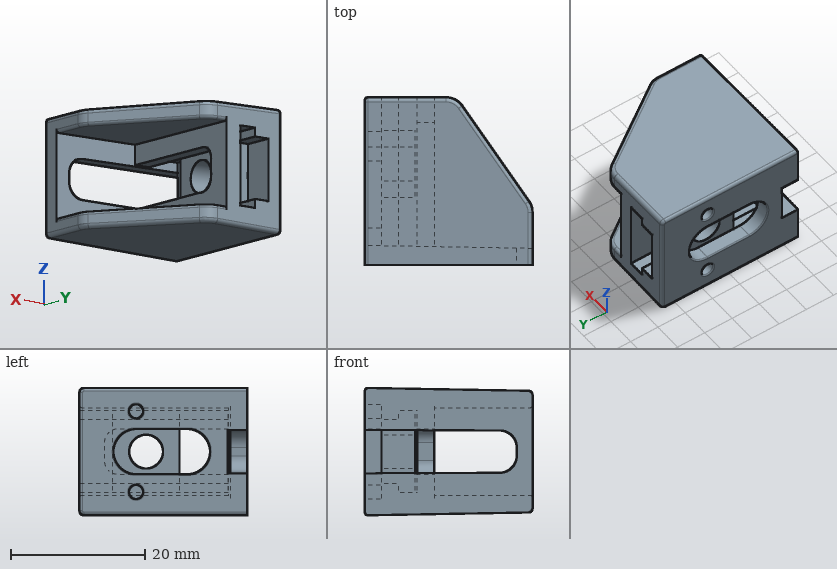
import cadquery as cq
import math

SIDE = 25.0
LEFT_HALF_HEIGHT = 9.5
DRAFT = 1.0
SLOPE_BACK_X = 13.62
SLOPE_RIGHT_Y = 8.75
SLOPE_CORNER_R = 3.0
OUTER_EDGE_R = 0.7
LEFT_EDGE_R = 0.5

LEFT_WALL = 2.5
CHANNEL_START = 5.0
CHANNEL_END = 7.8
PARTITION_END = 10.38
NECK_HALF_HEIGHT = 4.75
CHANNEL_HALF_HEIGHT = 6.1
OPENING_HALF_HEIGHT = 3.4
OPENING_CORNER_R = 2.08
OPENING_BACK_Y = 21.25
CAVITY_HALF_HEIGHT = 6.5
CAVITY_MOUTH_R = 0.5
FRONT_WALL_RIGHT = 2.5
FRONT_WALL_LEFT = FRONT_WALL_RIGHT + SIDE * math.tan(math.radians(DRAFT))

FRONT_SLOT_END = 22.6
FRONT_SLOT_R = 2.5
FRONT_SLOT_LEFT_HALF = 3.22
FRONT_SLOT_RIGHT_HALF = 3.12

LEFT_SLOT_R = 3.35
LEFT_SLOT_FRONT_Y = 8.9
LEFT_SLOT_BACK_Y = 16.55
PILOT_R = 1.05
PILOT_Z = 6.0
PILOT_DEPTH = 2.5
RIM_R = 0.2

SLIDER_END = 7.5
SLIDER_LENGTH = 10.0
SLIDER_Y = 15.05
SLIDER_HOLE_R = 2.5

SELECT_MARGIN = 0.02


def box(x0, x1, y0, y1, half_height):
    """Box centred on Z = 0."""
    return cq.Workplane("XY").box(
        x1 - x0, y1 - y0, 2 * half_height, centered=(False, False, True)
    ).translate((x0, y0, 0))


def behind_front_wall(x0, x1, half_height):
    """Space from the tapered inner face of the front wall out through the back."""
    def wall_y(x):
        return FRONT_WALL_LEFT + (FRONT_WALL_RIGHT - FRONT_WALL_LEFT) * x / SIDE

    return (
        cq.Workplane("XY")
        .polyline([(x0, wall_y(x0)), (x1, wall_y(x1)), (x1, SIDE), (x0, SIDE)])
        .close()
        .extrude(half_height, both=True)
    )


def housing_blank():
    """Five-sided block whose top and bottom taper toward the right."""
    right_half_height = LEFT_HALF_HEIGHT - SIDE * math.tan(math.radians(DRAFT))
    outline = [
        (0, 0),
        (SIDE, 0),
        (SIDE, SLOPE_RIGHT_Y),
        (SLOPE_BACK_X, SIDE),
        (0, SIDE),
    ]
    prism = cq.Workplane("XY").polyline(outline).close().extrude(LEFT_HALF_HEIGHT, both=True)
    slope_corners = cq.selectors.BoxSelector(
        (SLOPE_BACK_X - SELECT_MARGIN, SLOPE_RIGHT_Y - SELECT_MARGIN, -SELECT_MARGIN),
        (SIDE + SELECT_MARGIN, SIDE + SELECT_MARGIN, SELECT_MARGIN),
    )
    prism = prism.edges("|Z").edges(slope_corners).fillet(SLOPE_CORNER_R)
    wedge = (
        cq.Workplane("XZ")
        .polyline([
            (0, -LEFT_HALF_HEIGHT),
            (SIDE, -right_half_height),
            (SIDE, right_half_height),
            (0, LEFT_HALF_HEIGHT),
        ])
        .close()
        .extrude(-SIDE)
    )
    blank = prism.intersect(wedge)
    blank = blank.faces(">Z or <Z").edges("not (<Y or <X)").fillet(OUTER_EDGE_R)
    return blank.faces("<X").edges("not <Y").fillet(LEFT_EDGE_R)


def front_slot():
    """Slot through the front wall, open to the left, narrowing toward its rounded right end."""
    round_start = FRONT_SLOT_END - FRONT_SLOT_R
    end_flat = FRONT_SLOT_RIGHT_HALF - FRONT_SLOT_R
    diagonal = FRONT_SLOT_R * math.sqrt(0.5)
    arc_x = round_start + diagonal
    arc_z = end_flat + diagonal
    slot = (
        cq.Workplane("XZ")
        .moveTo(0, -FRONT_SLOT_LEFT_HALF)
        .lineTo(round_start, -FRONT_SLOT_RIGHT_HALF)
        .threePointArc((arc_x, -arc_z), (FRONT_SLOT_END, -end_flat))
        .lineTo(FRONT_SLOT_END, end_flat)
        .threePointArc((arc_x, arc_z), (round_start, FRONT_SLOT_RIGHT_HALF))
        .lineTo(0, FRONT_SLOT_LEFT_HALF)
        .close()
        .extrude(-SIDE)
    )
    return slot.cut(behind_front_wall(0, SIDE, LEFT_HALF_HEIGHT))


def partition_opening():
    """Opening through the partition, rounded at its back corners."""
    opening = box(
        CHANNEL_END, PARTITION_END, -OPENING_BACK_Y, OPENING_BACK_Y, OPENING_HALF_HEIGHT
    ).edges("|X and >Y").fillet(OPENING_CORNER_R)
    return opening.intersect(behind_front_wall(CHANNEL_END, PARTITION_END, LEFT_HALF_HEIGHT))


def left_slot():
    """Round-ended slot through the left wall."""
    length = LEFT_SLOT_BACK_Y - LEFT_SLOT_FRONT_Y + 2 * LEFT_SLOT_R
    return (
        cq.Workplane("YZ")
        .center((LEFT_SLOT_FRONT_Y + LEFT_SLOT_BACK_Y) / 2, 0)
        .slot2D(length, 2 * LEFT_SLOT_R)
        .extrude(LEFT_WALL)
    )


def pilot_hole(z):
    """Blind round hole into the left face."""
    return cq.Workplane("YZ").center(LEFT_SLOT_BACK_Y, z).circle(PILOT_R).extrude(PILOT_DEPTH)


def round_left_rims(body):
    """Round the mouths of the left slot and the pilot holes."""
    slot_reach = LEFT_SLOT_R + SELECT_MARGIN
    pilot_reach = PILOT_Z + PILOT_R + SELECT_MARGIN
    rims = cq.selectors.BoxSelector(
        (-SELECT_MARGIN, LEFT_SLOT_FRONT_Y - slot_reach, -pilot_reach),
        (SELECT_MARGIN, LEFT_SLOT_BACK_Y + slot_reach, pilot_reach),
    )
    return body.faces("<X").edges(rims).fillet(RIM_R)


def cut_cavity(body):
    """Hollow the right side, open to the back, slope and right, with a rounded mouth."""
    body = body.cut(behind_front_wall(PARTITION_END, SIDE, CAVITY_HALF_HEIGHT))
    for z in (-CAVITY_HALF_HEIGHT, CAVITY_HALF_HEIGHT):
        mouth = cq.selectors.BoxSelector(
            (PARTITION_END + SELECT_MARGIN, FRONT_WALL_LEFT, z - SELECT_MARGIN),
            (SIDE + SELECT_MARGIN, SIDE + SELECT_MARGIN, z + SELECT_MARGIN),
        )
        body = body.edges(mouth).fillet(CAVITY_MOUTH_R)
    return body


def make_housing():
    body = cut_cavity(housing_blank()).cut(left_slot())
    for z in (-PILOT_Z, PILOT_Z):
        body = body.cut(pilot_hole(z))
    body = round_left_rims(body)
    body = body.cut(behind_front_wall(LEFT_WALL, CHANNEL_START, NECK_HALF_HEIGHT))
    body = body.cut(behind_front_wall(CHANNEL_START, CHANNEL_END, CHANNEL_HALF_HEIGHT))
    body = body.cut(partition_opening())
    return body.cut(front_slot())


def make_slider():
    """T-shaped block with a through hole that slides along the channel."""
    front = SLIDER_Y - SLIDER_LENGTH / 2
    back = SLIDER_Y + SLIDER_LENGTH / 2
    neck = box(LEFT_WALL, CHANNEL_START, front, back, NECK_HALF_HEIGHT)
    flanges = box(CHANNEL_START, SLIDER_END, front, back, CHANNEL_HALF_HEIGHT)
    hole = cq.Workplane("YZ").center(SLIDER_Y, 0).circle(SLIDER_HOLE_R).extrude(SLIDER_END)
    return neck.union(flanges).cut(hole)


housing = make_housing()
slider = make_slider()

result = cq.Compound.makeCompound([housing.val(), slider.val()])